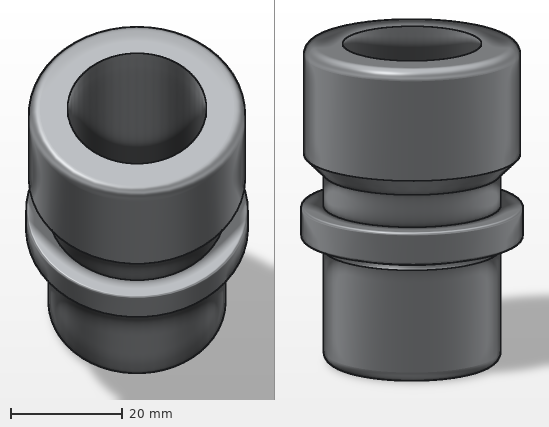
import cadquery as cq

total_height = 59.0
spigot_top = 21.75
collar_bottom = 23.0
collar_top = 29.0
cone_bottom = 35.0

bore_radius = 12.5
body_radius = 16.0
groove_radius = 15.25
collar_radius = 20.0
head_radius = 19.5

end_fillet = 2.0
collar_edge_fillet = 0.5

spigot_chamfer = body_radius - groove_radius
cone_height = head_radius - body_radius


def cylinder(radius, bottom, top):
    """Solid cylinder on the Z axis between two heights."""
    return cq.Workplane("XY").workplane(offset=bottom).circle(radius).extrude(top - bottom)


def make_spigot():
    """Lower end, rounded at the bottom and chamfered at the groove."""
    spigot = cylinder(body_radius, 0, spigot_top)
    spigot = spigot.faces("<Z").edges().fillet(end_fillet)
    return spigot.faces(">Z").edges().chamfer(spigot_chamfer)


def make_collar():
    """Collar with both rims lightly rounded."""
    collar = cylinder(collar_radius, collar_bottom, collar_top)
    return collar.faces("<Z or >Z").edges().fillet(collar_edge_fillet)


def make_head():
    """Upper end, flared out at the bottom and rounded at the top."""
    head = cylinder(head_radius, cone_bottom, total_height)
    head = head.faces("<Z").edges().chamfer(cone_height)
    return head.faces(">Z").edges().fillet(end_fillet)


groove = cylinder(groove_radius, spigot_top, collar_bottom)
neck = cylinder(body_radius, collar_top, cone_bottom)
bore = cylinder(bore_radius, 0, total_height)

body = make_spigot().union(groove).union(make_collar()).union(neck).union(make_head())
result = body.cut(bore)